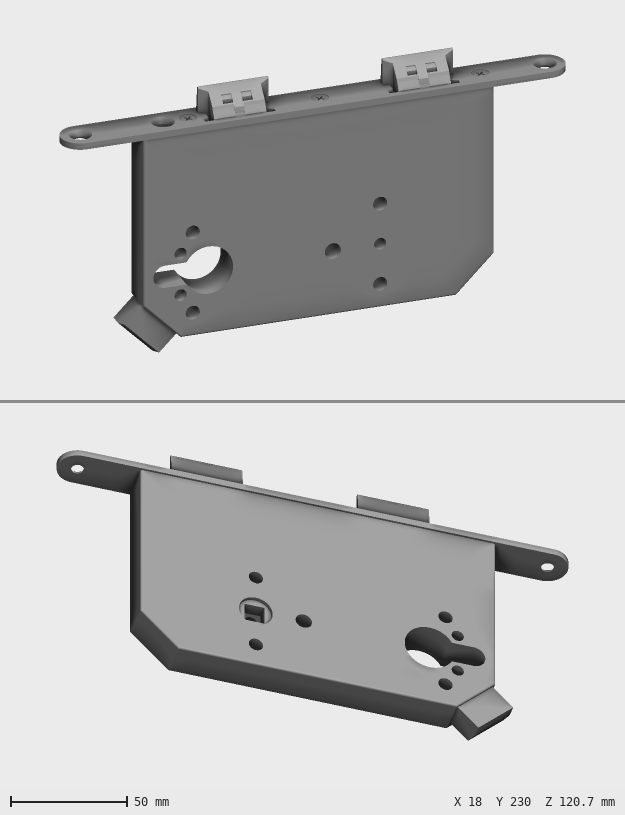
import cadquery as cq
import math


PLATE_LENGTH = 230.0
PLATE_WIDTH = 18.0
PLATE_THICKNESS = 3.0
PLATE_END_Y = (PLATE_LENGTH - PLATE_WIDTH) / 2

COUNTERSINK_YS = (PLATE_END_Y, -68.3, -PLATE_END_Y)
COUNTERSINK_DIAMETER = 10.4
COUNTERSINK_HOLE_DIAMETER = 5.5
COUNTERSINK_ANGLE = 90

SCREW_YS = (76.5, 3.5, -56.8)
SCREW_HEAD_RADIUS = 4.0
SCREW_SINK = 0.2
CROSS_LENGTH = 4.1
CROSS_WIDTH = 1.0
CROSS_DEPTH = 1.4
CROSS_ANGLE = 45
CROSS_CONE_DIAMETER = 2.3

CASE_LENGTH = 160.0
CASE_WIDTH = 15.9
CASE_BOTTOM = -100.0
CASE_CORNER = 17.2
CASE_FILLET = 1.0

HOLE_LEVEL = -70.0
FOLLOWER_Y = 28.0
FOLLOWER_RADIUS = 7.5
FOLLOWER_RECESS = 1.8
FOLLOWER_SQUARE = 9.0
FOLLOWER_SQUARE_DEPTH = 5.8
FOLLOWER_HOLE_RADIUS = 2.8
BOLT_HOLE_Y = 6.5
BOLT_HOLE_RADIUS = 3.7
FIXING_HOLES_Y = (FOLLOWER_Y, -57.5)
FIXING_HOLE_RISE = 19.0
FIXING_HOLE_RADIUS = 3.2
SMALL_HOLE_Y = -63.0
SMALL_HOLE_RISE = 10.0
SMALL_HOLE_RADIUS = 2.8
CYLINDER_Y = -50.4
CYLINDER_RADIUS = 11.3
CYLINDER_SLOT_RADIUS = 5.3
CYLINDER_SLOT_END_Y = -70.2

LATCH_YS = (49.2, -35.0)
LATCH_LENGTH = 32.2
LATCH_WIDTH = 11.7
LATCH_HALF_WIDTH = LATCH_WIDTH / 2
LATCH_HEIGHT = 12.2
TIP_LEFT = -4.1
TIP_RIGHT = -3.7
TIP_BEVEL_BOTTOM = 11.5
LATCH_FACE_TOP = -4.5
SLOPE_ANGLE = 46
SLOPE_END = 3.2
LOWER_SLOPE_TOP = (4.0, 3.7)
LOWER_SLOPE_FOOT = 0.5
LEAF_RIGHT = -3.2
WEDGE_LEFT = -1.72
WEDGE_INSET = 4.1
RIB_WIDTH = 4.4
RIB_BEVEL_BOTTOM = 10.4
RIB_SLOPE_END = 4.4
RIB_FOOT = (5.0, 1.4)
POCKET_LENGTH = 13.5
POCKET_STEP_LEFT = -0.2
POCKET_STEP_DEPTH = 0.5
POCKET_GROOVE_LEFT = 1.2
POCKET_GROOVE_RIGHT = 2.8

TONGUE_LENGTH = 2.8
TONGUE_ROOT = (-2.5, 3.2)
TONGUE_TIP = (-1.8, 2.0)

BLOCK_LENGTH = 22.3
BLOCK_REACH = 13.0
BLOCK_LEFT = -6.5
BLOCK_RIDGE = -1.0
BLOCK_RIGHT = 4.4
BLOCK_END_ANGLE = 18


def side_cylinder(y, z, radius, depth=CASE_WIDTH):
    """Cylinder along X that starts at the case's -X face."""
    return cq.Workplane("YZ", origin=(-CASE_WIDTH / 2, y, z)).circle(radius).extrude(depth)


def side_box(y, z, size_y, size_z, depth):
    """Box along X that starts at the case's -X face."""
    return cq.Workplane("YZ", origin=(-CASE_WIDTH / 2, y, z)).rect(size_y, size_z).extrude(depth)


def latch_slot(y):
    """Cutter for one latch opening, without the tongues at its two ends."""
    opening = (
        cq.Workplane("XY", origin=(0, y, -PLATE_THICKNESS))
        .rect(LATCH_WIDTH, LATCH_LENGTH)
        .extrude(PLATE_THICKNESS)
    )
    for end in (1, -1):
        root_y = end * LATCH_LENGTH / 2
        tip_y = root_y - end * TONGUE_LENGTH
        tongue = (
            cq.Workplane("XY", origin=(0, y, -PLATE_THICKNESS))
            .moveTo(TONGUE_ROOT[0], root_y)
            .lineTo(TONGUE_TIP[0], tip_y)
            .lineTo(TONGUE_TIP[1], tip_y)
            .lineTo(TONGUE_ROOT[1], root_y)
            .close()
            .extrude(PLATE_THICKNESS)
        )
        opening = opening.cut(tongue)
    return opening


def screw_recess(y):
    """Shallow round sink for a screw head, with its cross recess below."""
    sink = cq.Workplane("XY", origin=(0, y, -SCREW_SINK)).circle(SCREW_HEAD_RADIUS).extrude(SCREW_SINK)
    for angle in (CROSS_ANGLE, CROSS_ANGLE + 90):
        arm = (
            cq.Workplane("XY", origin=(0, y, -CROSS_DEPTH))
            .transformed(rotate=(0, 0, angle))
            .rect(CROSS_LENGTH, CROSS_WIDTH)
            .extrude(CROSS_DEPTH)
        )
        sink = sink.union(arm)
    cone = cq.Solid.makeCone(0, CROSS_CONE_DIAMETER / 2, CROSS_DEPTH, cq.Vector(0, y, -CROSS_DEPTH))
    return sink.union(cq.Workplane(cone))


def make_plate():
    plate = (
        cq.Workplane("XY", origin=(0, 0, -PLATE_THICKNESS))
        .slot2D(PLATE_LENGTH, PLATE_WIDTH, 90)
        .extrude(PLATE_THICKNESS)
        .faces(">Z")
        .workplane(origin=(0, 0, 0))
        .pushPoints([(0, y) for y in COUNTERSINK_YS])
        .cskHole(COUNTERSINK_HOLE_DIAMETER, COUNTERSINK_DIAMETER, COUNTERSINK_ANGLE)
    )
    for y in LATCH_YS:
        plate = plate.cut(latch_slot(y))
    for y in SCREW_YS:
        plate = plate.cut(screw_recess(y))
    return plate


def case_block():
    """Solid case body with both lower corners cut off."""
    top = -PLATE_THICKNESS
    half = CASE_LENGTH / 2
    block = (
        cq.Workplane("YZ", origin=(-CASE_WIDTH / 2, 0, 0))
        .moveTo(-half, top)
        .lineTo(half, top)
        .lineTo(half, CASE_BOTTOM + CASE_CORNER)
        .lineTo(half - CASE_CORNER, CASE_BOTTOM)
        .lineTo(-half + CASE_CORNER, CASE_BOTTOM)
        .lineTo(-half, CASE_BOTTOM + CASE_CORNER)
        .close()
        .extrude(CASE_WIDTH)
    )
    return block.faces("<X or >X").edges("not >Z").fillet(CASE_FILLET)


def follower_recess():
    """Round recess, square socket below its floor and a round hole right through."""
    square_depth = FOLLOWER_RECESS + FOLLOWER_SQUARE_DEPTH
    recess = side_cylinder(FOLLOWER_Y, HOLE_LEVEL, FOLLOWER_RADIUS, FOLLOWER_RECESS)
    square = side_box(FOLLOWER_Y, HOLE_LEVEL, FOLLOWER_SQUARE, FOLLOWER_SQUARE, square_depth)
    return recess.union(square).union(side_cylinder(FOLLOWER_Y, HOLE_LEVEL, FOLLOWER_HOLE_RADIUS))


def cylinder_opening():
    """Keyhole opening: a large round hole with a round-ended slot toward -Y."""
    slot_length = CYLINDER_Y - CYLINDER_SLOT_END_Y
    slot_middle_y = (CYLINDER_Y + CYLINDER_SLOT_END_Y) / 2
    slot = side_box(slot_middle_y, HOLE_LEVEL, slot_length, 2 * CYLINDER_SLOT_RADIUS, CASE_WIDTH)
    return (
        side_cylinder(CYLINDER_Y, HOLE_LEVEL, CYLINDER_RADIUS)
        .union(slot)
        .union(side_cylinder(CYLINDER_SLOT_END_Y, HOLE_LEVEL, CYLINDER_SLOT_RADIUS))
    )


def make_case():
    case = case_block().cut(follower_recess()).cut(cylinder_opening())
    case = case.cut(side_cylinder(BOLT_HOLE_Y, HOLE_LEVEL, BOLT_HOLE_RADIUS))
    for side in (1, -1):
        for y in FIXING_HOLES_Y:
            case = case.cut(side_cylinder(y, HOLE_LEVEL + side * FIXING_HOLE_RISE, FIXING_HOLE_RADIUS))
        case = case.cut(side_cylinder(SMALL_HOLE_Y, HOLE_LEVEL + side * SMALL_HOLE_RISE, SMALL_HOLE_RADIUS))
    return case


def latch_section(points, length):
    """X-Z outline extruded along Y, centred on y = 0."""
    return cq.Workplane("XZ").polyline(points).close().extrude(length / 2, both=True)


def latch_footprint():
    """Full-length leaf whose ends step back along slanted faces to the shorter wedge."""
    leaf = LATCH_LENGTH / 2
    wedge = leaf - WEDGE_INSET
    return (
        cq.Workplane("XY", origin=(0, 0, -PLATE_THICKNESS))
        .polyline([
            (-LATCH_HALF_WIDTH, leaf), (LEAF_RIGHT, leaf), (WEDGE_LEFT, wedge), (LATCH_HALF_WIDTH, wedge),
            (LATCH_HALF_WIDTH, -wedge), (WEDGE_LEFT, -wedge), (LEAF_RIGHT, -leaf), (-LATCH_HALF_WIDTH, -leaf),
        ])
        .close()
        .extrude(PLATE_THICKNESS + LATCH_HEIGHT)
    )


def on_slope(x, depth=0.0):
    """Point on the latch's main slope, or a depth straight below it."""
    drop = (x - TIP_RIGHT) * math.tan(math.radians(SLOPE_ANGLE))
    return (x, LATCH_HEIGHT - drop - depth)


def on_leaning_face(z):
    """Point on the latch's -X face, which leans toward +X as it rises."""
    lean = (LATCH_FACE_TOP + LATCH_HALF_WIDTH) / TIP_BEVEL_BOTTOM
    return (lean * z - LATCH_HALF_WIDTH, z)


def latch_pocket():
    """Shallow step in the slope, then a groove whose floor rises at 45 degrees back to the slope."""
    groove_end = on_slope(POCKET_GROOVE_RIGHT)
    groove_bottom = groove_end[1] - (POCKET_GROOVE_RIGHT - POCKET_GROOVE_LEFT)
    outline = [
        (POCKET_STEP_LEFT, LATCH_HEIGHT),
        on_slope(POCKET_STEP_LEFT, POCKET_STEP_DEPTH),
        on_slope(POCKET_GROOVE_LEFT, POCKET_STEP_DEPTH),
        (POCKET_GROOVE_LEFT, groove_bottom),
        groove_end,
        (POCKET_GROOVE_RIGHT, LATCH_HEIGHT),
    ]
    return latch_section(outline, POCKET_LENGTH)


def make_latch():
    base = [
        (LATCH_HALF_WIDTH, -PLATE_THICKNESS),
        (-LATCH_HALF_WIDTH, -PLATE_THICKNESS),
        on_leaning_face(0),
    ]
    tip = [(TIP_LEFT, LATCH_HEIGHT), (TIP_RIGHT, LATCH_HEIGHT)]
    main_outline = [
        *base,
        on_leaning_face(TIP_BEVEL_BOTTOM),
        *tip,
        on_slope(SLOPE_END),
        LOWER_SLOPE_TOP,
        (LATCH_HALF_WIDTH, LOWER_SLOPE_FOOT),
    ]
    rib_outline = [
        *base,
        on_leaning_face(RIB_BEVEL_BOTTOM),
        *tip,
        on_slope(RIB_SLOPE_END),
        RIB_FOOT,
        (LATCH_HALF_WIDTH, 0),
    ]
    rib_space = cq.Workplane("XY").box(2 * PLATE_WIDTH, RIB_WIDTH, 2 * LATCH_HEIGHT)
    return (
        latch_section(main_outline, LATCH_LENGTH)
        .intersect(latch_footprint())
        .cut(latch_pocket())
        .cut(rib_space)
        .union(latch_section(rib_outline, RIB_WIDTH))
    )


def make_block():
    """Block standing square on the cut-off lower -Y corner, its end sloping back toward +X."""
    slope_back = (BLOCK_RIGHT - BLOCK_RIDGE) * math.tan(math.radians(BLOCK_END_ANGLE))
    middle_y = -(CASE_LENGTH - CASE_CORNER) / 2
    middle_z = CASE_BOTTOM + CASE_CORNER / 2
    corner_plane = cq.Plane(origin=(0, middle_y, middle_z), xDir=(1, 0, 0), normal=(0, 1, -1))
    return (
        cq.Workplane(corner_plane)
        .polyline([
            (BLOCK_LEFT, 0), (BLOCK_RIGHT, 0), (BLOCK_RIGHT, BLOCK_REACH - slope_back),
            (BLOCK_RIDGE, BLOCK_REACH), (BLOCK_LEFT, BLOCK_REACH),
        ])
        .close()
        .extrude(BLOCK_LENGTH / 2, both=True)
    )


plate = make_plate()
case = make_case()
latches = [make_latch().translate((0, y, 0)) for y in LATCH_YS]
block = make_block()

result = cq.Compound.makeCompound([plate.val(), case.val(), *[latch.val() for latch in latches], block.val()])